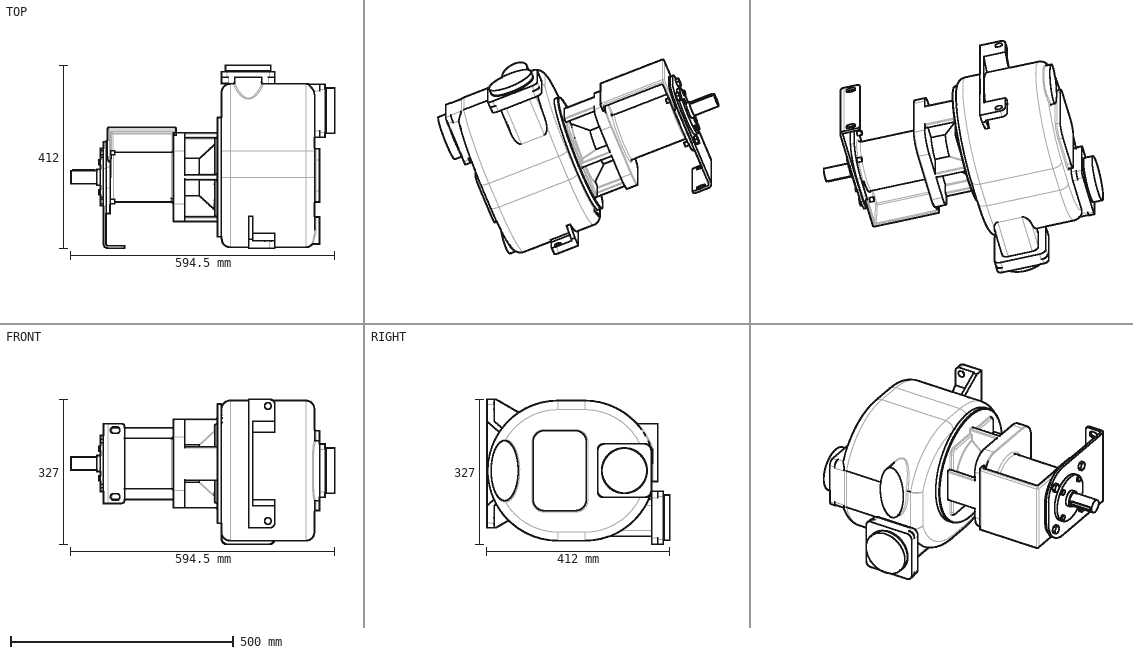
import math

import cadquery as cq


SHAFT_END = 58.5
COLLAR_END = 66.5
FOOT_PLATE_X = 73.5
FOOT_THICKNESS = 6.0
BEARING_FLANGE_X = FOOT_PLATE_X + FOOT_THICKNESS
BEARING_FLANGE_END = 88.5
SQUARE_FLANGE_X = 230.5
SQUARE_FLANGE_END = 256.5
LANTERN_CONE_X = 289.5
PAD_X = 323.5
DISC_X = 329.0
CASING_X = 339.0
CASING_END = 548.5
PORT_RISE = 11.5
OVERALL_LENGTH = 594.5

SHAFT_DIAMETER = 30.0
COLLAR_DIAMETER = 36.5
KEY_START = 4.0
KEY_END = 54.0
KEY_WIDTH = 8.0
KEY_TOP = 16.5

CAP_DIAMETER = 110.0
CAP_SCREW_OFFSET = 33.5
CAP_SCREW_DIAMETER = 11.5
CAP_SCREW_HEAD = 4.0
FOOT_SCREW_OFFSET = 55.0
FOOT_SCREW_HEAD_WIDTH = 19.5
HEXAGON = 6
FOOT_SCREW_DIAMETER = 10.0
FOOT_SCREW_TIP = 99.0

BASE_Y = -160.0
FOOT_TOP_Y = 80.0
FOOT_WIDTH = 180.0
FOOT_ROUND = 60.0
FOOT_LEG_END = 121.0
FOOT_BEND = 10.0
FOOT_LEG_CORNER = 7.0
FOOT_SLOT_X = 100.0
FOOT_SLOT_Z = 75.0
FOOT_SLOT_LENGTH = 20.5
FOOT_SLOT_WIDTH = 14.5

BEARING_FLANGE_SIZE = 164.0
BEARING_FLANGE_ROUND = 58.0
BARREL_DIAMETER = 113.0
BARREL_FRONT_FILLET = 7.0
BARREL_FILLET = 5.0

FRAME_X = 82.5
FRAME_END = 237.0
FRAME_Y = 112.5
FRAME_HALF_HEIGHT = 81.0
FRAME_END_WALL = 6.5
FRAME_BACK_WALL = 9.5
FRAME_OUTER_ROUND = 3.5
FRAME_RIM_ROUND = 2.0
FRAME_INNER_FILLET = 3.0
FRAME_DRAFT = 2.0
WEB_THICKNESS = 12.0

SQUARE_FLANGE_SIZE = 200.0
SQUARE_FLANGE_CORNER = 40.0
SQUARE_FLANGE_EDGE = 2.0
LANTERN_TUBE_DIAMETER = 85.0
LANTERN_CONE_DIAMETER = 147.0
RIB_THICKNESS = 12.0
SIDE_PLATE_THICKNESS = 11.0
SIDE_PLATE_WIDTH = 76.0
PAD_SIZE = 176.0
PAD_CORNER = 12.0
PAD_EDGE = 3.0
CONE_FOOT_FILLET = 3.0
RIB_FILLET = 2.0
TUBE_JOINT_FILLET = 1.5
DISC_DIAMETER = 269.0
DISC_EDGE = 1.5

CASING_RADIUS = 158.0
CASING_Z = -16.0
CASING_CENTRE_SHIFT = 60.0
CASING_BACK_Y = 210.5
CASING_FILLET = 20.0

PIPE_FLANGE_SIZE = 120.0
INNER_PLATE_CORNER = 15.0
OUTER_PLATE_CORNER = 12.0
PIPE_DIAMETER = 102.5
PIPE_GROOVE_WIDTH = 2.0
PIPE_GROOVE_DEPTH = 1.0
DISCHARGE_X = 399.0
DISCHARGE_Z = -122.0
DISCHARGE_JOINT_Y = 225.0
DISCHARGE_FACE_Y = 237.5
DISCHARGE_END_Y = 252.0
DISCHARGE_NECK_SIZE = 84.0
DISCHARGE_NECK_CORNER = 14.0
INLET_Y = 149.5
INLET_PLATE_THICKNESS = 12.5

SEAT_WIDTH = 61.0
SEAT_HEIGHT = 131.0
END_SEAT_HEIGHT = 135.0
BACK_SEAT_Z = 24.5
END_SEAT_Y = -120.0
COVER_Y = 4.0
COVER_WIDTH = 120.0
COVER_HEIGHT = 180.0
COVER_CORNER = 25.0
SEAT_FILLET = 3.0

BRACKET_X = 400.0
BRACKET_THICKNESS = 9.0
BRACKET_HALF_HEIGHT = 145.0
BRACKET_CREST = 20.0
BRACKET_SLOPE = 30.0
CASING_FOOT_END = 459.0
CASING_FOOT_HEIGHT = 50.0
CASING_FOOT_THICKNESS = 16.5
CASING_FOOT_CORNER = 12.0
CASING_FOOT_HOLE_X = 443.5
CASING_FOOT_HOLE_Z = 129.5
CASING_FOOT_HOLE = 15.0
STRUT_SLOPE = 41.0

OVERLAP = 10.0
END_CLEARANCE = 0.2
SELECTION_MARGIN = 0.1


def at_x(x, y=0.0, z=0.0):
    """Sketch plane across the shaft: sketch axes are Y and Z, extrudes toward +X."""
    return cq.Workplane("YZ", origin=(x, y, z))


def at_y(y, x=0.0, z=0.0):
    """Sketch plane across Y: sketch axes are X and Z, extrudes toward -Y."""
    return cq.Workplane("XZ", origin=(x, y, z))


def between(low, high):
    """Selector for edges whose centre lies between two corner points, with a small margin."""
    return cq.selectors.BoxSelector(
        tuple(value - SELECTION_MARGIN for value in low),
        tuple(value + SELECTION_MARGIN for value in high),
    )


def cylinder_x(x0, x1, diameter, y=0.0, z=0.0):
    return at_x(x0, y, z).circle(diameter / 2).extrude(x1 - x0)


def block(x0, x1, y0, y1, z0, z1):
    return cq.Workplane("XY").box(x1 - x0, y1 - y0, z1 - z0, centered=False).translate((x0, y0, z0))


def rounded_block(sketch, width, height, thickness, corner):
    """Rectangular plate on a sketch plane, rounded at the four corners of its outline."""
    body = sketch.rect(width, height).extrude(thickness)
    along_normal = cq.selectors.ParallelDirSelector(sketch.plane.zDir)
    return body.edges(along_normal).fillet(corner)


def shaft():
    body = cylinder_x(0, SHAFT_END, SHAFT_DIAMETER)
    body = body.union(cylinder_x(SHAFT_END, COLLAR_END, COLLAR_DIAMETER))
    body = body.union(block(KEY_START, KEY_END, 0, KEY_TOP, -KEY_WIDTH / 2, KEY_WIDTH / 2))
    return body


def square_pattern(offset):
    """Four Y, Z places around the shaft axis."""
    return [(sy * offset, sz * offset) for sy in (-1, 1) for sz in (-1, 1)]


def bearing_cap():
    body = cylinder_x(COLLAR_END, FOOT_PLATE_X, CAP_DIAMETER)
    for y, z in square_pattern(CAP_SCREW_OFFSET):
        body = body.union(cylinder_x(COLLAR_END - CAP_SCREW_HEAD, FOOT_PLATE_X, CAP_SCREW_DIAMETER, y, z))
    for y, z in square_pattern(FOOT_SCREW_OFFSET):
        head = at_x(COLLAR_END, y, z).polygon(HEXAGON, FOOT_SCREW_HEAD_WIDTH).extrude(FOOT_PLATE_X - COLLAR_END)
        body = body.union(head)
        body = body.union(cylinder_x(FOOT_PLATE_X, FOOT_SCREW_TIP, FOOT_SCREW_DIAMETER, y, z))
    return body


def angle_foot():
    half = FOOT_WIDTH / 2
    outer = block(FOOT_PLATE_X, FOOT_LEG_END, BASE_Y, FOOT_TOP_Y, -half, half)
    outer = outer.edges("|Z and <X and <Y").fillet(FOOT_BEND)
    outer = outer.edges("|X and >Y").fillet(FOOT_ROUND)
    outer = outer.edges("|Y and >X").fillet(FOOT_LEG_CORNER)
    inside = block(
        BEARING_FLANGE_X, FOOT_LEG_END, BASE_Y + FOOT_THICKNESS, FOOT_TOP_Y, -half, half
    )
    inside = inside.edges("|Z and <X and <Y").fillet(FOOT_BEND - FOOT_THICKNESS)
    slots = (
        at_y(BASE_Y + FOOT_THICKNESS)
        .pushPoints([(FOOT_SLOT_X, -FOOT_SLOT_Z), (FOOT_SLOT_X, FOOT_SLOT_Z)])
        .slot2D(FOOT_SLOT_LENGTH, FOOT_SLOT_WIDTH)
        .extrude(FOOT_THICKNESS)
    )
    return outer.cut(inside).cut(slots)


def bearing_housing():
    flange = rounded_block(
        at_x(BEARING_FLANGE_X),
        BEARING_FLANGE_SIZE,
        BEARING_FLANGE_SIZE,
        BEARING_FLANGE_END - BEARING_FLANGE_X,
        BEARING_FLANGE_ROUND,
    )
    radius = BARREL_DIAMETER / 2
    barrel = (
        cq.Workplane("XY")
        .moveTo(BEARING_FLANGE_END, 0)
        .lineTo(BEARING_FLANGE_END, radius + BARREL_FRONT_FILLET)
        .radiusArc((BEARING_FLANGE_END + BARREL_FRONT_FILLET, radius), -BARREL_FRONT_FILLET)
        .lineTo(SQUARE_FLANGE_X - BARREL_FILLET, radius)
        .radiusArc((SQUARE_FLANGE_X, radius + BARREL_FILLET), -BARREL_FILLET)
        .lineTo(SQUARE_FLANGE_X, 0)
        .close()
        .revolve(360, (0, 0, 0), (1, 0, 0))
    )
    return flange.union(barrel)


def side_frame():
    half = FRAME_HALF_HEIGHT
    inner_x = FRAME_X + FRAME_END_WALL
    inner_y = FRAME_Y - FRAME_BACK_WALL
    depth = half - WEB_THICKNESS / 2
    draft_run = depth * math.tan(math.radians(FRAME_DRAFT))
    body = block(FRAME_X, FRAME_END, 0, FRAME_Y, -half, half)
    body = body.edges(">Y or (<X and |Y)").fillet(FRAME_OUTER_ROUND)
    cavity = (
        cq.Workplane("XY", origin=(inner_x, inner_y, half))
        .rect(SQUARE_FLANGE_X + draft_run - inner_x, -2 * inner_y, centered=False)
        .extrude(-depth, taper=FRAME_DRAFT)
    )
    cavity = cavity.edges("not #Z").fillet(FRAME_INNER_FILLET)
    cavity = cavity.faces("<Z").edges().fillet(FRAME_INNER_FILLET)
    body = body.cut(cavity).cut(cavity.mirror("XY"))
    inner_rim = between((inner_x, END_CLEARANCE, -half), (SQUARE_FLANGE_X, inner_y, half))
    return body.faces(">Z or <Z").edges(inner_rim).fillet(FRAME_RIM_ROUND)


def lantern_ribs():
    """Cross of ribs with a wide plate along each of the two side ribs."""
    half = SQUARE_FLANGE_SIZE / 2
    start = SQUARE_FLANGE_END - OVERLAP
    rib = RIB_THICKNESS / 2
    plate = SIDE_PLATE_WIDTH / 2
    body = block(start, DISC_X, -rib, rib, -half, half)
    body = body.union(block(start, DISC_X, -half, half, -rib, rib))
    for y in (-half, half - SIDE_PLATE_THICKNESS):
        body = body.union(block(start, DISC_X, y, y + SIDE_PLATE_THICKNESS, -plate, plate))
    return body.edges("|X").fillet(RIB_FILLET)


def lantern():
    flange = rounded_block(
        at_x(SQUARE_FLANGE_X),
        SQUARE_FLANGE_SIZE,
        SQUARE_FLANGE_SIZE,
        SQUARE_FLANGE_END - SQUARE_FLANGE_X,
        SQUARE_FLANGE_CORNER,
    )
    start = SQUARE_FLANGE_END - OVERLAP
    tube_radius = LANTERN_TUBE_DIAMETER / 2
    cone_radius = LANTERN_CONE_DIAMETER / 2
    tube_profile = [
        (start, 0),
        (start, tube_radius + OVERLAP),
        (SQUARE_FLANGE_END, tube_radius + OVERLAP),
        (SQUARE_FLANGE_END, tube_radius),
        (LANTERN_CONE_X, tube_radius),
        (PAD_X, cone_radius),
        (PAD_X, cone_radius + OVERLAP),
        (DISC_X, cone_radius + OVERLAP),
        (DISC_X, 0),
    ]
    tube = cq.Workplane("XY").polyline(tube_profile).close().revolve(360, (0, 0, 0), (1, 0, 0))
    cone_foot = cq.selectors.RadiusNthSelector(2)
    tube = tube.edges(cone_foot).fillet(CONE_FOOT_FILLET)
    pad = rounded_block(at_x(PAD_X), PAD_SIZE, PAD_SIZE, DISC_X - PAD_X, PAD_CORNER)
    pad = pad.faces("<X").edges().fillet(PAD_EDGE)
    disc = cylinder_x(DISC_X, CASING_X, DISC_DIAMETER).faces("<X").edges().chamfer(DISC_EDGE)
    body = flange.union(tube).union(pad).union(disc).union(lantern_ribs())
    half = SQUARE_FLANGE_SIZE / 2
    rib = RIB_THICKNESS / 2
    for low, high in ((-half, -tube_radius), (tube_radius, half)):
        tube_joint = between(
            (SQUARE_FLANGE_END + END_CLEARANCE, -rib, max(low, -cone_radius)),
            (PAD_X - END_CLEARANCE, rib, min(high, cone_radius)),
        )
        body = body.edges(tube_joint).fillet(TUBE_JOINT_FILLET)
        foot = between((DISC_X, -rib, low), (DISC_X, rib, high))
        body = body.edges(foot).fillet(RIB_FILLET)
    return body.faces("<X").edges().fillet(SQUARE_FLANGE_EDGE)


def casing():
    length = CASING_END - CASING_X
    body = (
        at_x(CASING_X, CASING_CENTRE_SHIFT / 2, CASING_Z)
        .slot2D(CASING_CENTRE_SHIFT + 2 * CASING_RADIUS, 2 * CASING_RADIUS)
        .extrude(length)
    )
    trim = block(
        CASING_X, CASING_END, -2 * CASING_RADIUS, CASING_BACK_Y, -2 * CASING_RADIUS, 2 * CASING_RADIUS
    )
    return body.intersect(trim).faces("<X or >X").edges().fillet(CASING_FILLET)


def pipe_flange(plane_at, direction, stations):
    """Two square plates and a pipe end.

    `plane_at` maps an axial station to a sketch plane. The stations are the root of
    the inner plate, the joint between the plates, the outer face and the pipe end.
    """
    root, joint, face, end = stations
    inner = rounded_block(
        plane_at(root), PIPE_FLANGE_SIZE, PIPE_FLANGE_SIZE, direction * (joint - root), INNER_PLATE_CORNER
    )
    outer = rounded_block(
        plane_at(joint), PIPE_FLANGE_SIZE, PIPE_FLANGE_SIZE, direction * (face - joint), OUTER_PLATE_CORNER
    )
    radius = PIPE_DIAMETER / 2
    pipe_start = face + PIPE_GROOVE_WIDTH
    neck = plane_at(face).circle(radius - PIPE_GROOVE_DEPTH).extrude(direction * PIPE_GROOVE_WIDTH)
    pipe = plane_at(pipe_start).circle(radius).extrude(direction * (end - pipe_start))
    return inner.union(outer).union(neck).union(pipe)


def inlet():
    def plane_at(x):
        return at_x(x, INLET_Y, CASING_Z)

    root = CASING_END - CASING_FILLET
    joint = CASING_END + PORT_RISE
    face = joint + INLET_PLATE_THICKNESS
    return pipe_flange(plane_at, 1, (root, joint, face, OVERALL_LENGTH))


def discharge():
    def plane_at(y):
        return at_y(y, DISCHARGE_X, DISCHARGE_Z)

    stations = (CASING_BACK_Y, DISCHARGE_JOINT_Y, DISCHARGE_FACE_Y, DISCHARGE_END_Y)
    body = pipe_flange(plane_at, -1, stations)
    neck = rounded_block(
        plane_at(DISCHARGE_JOINT_Y),
        DISCHARGE_NECK_SIZE,
        DISCHARGE_NECK_SIZE,
        DISCHARGE_JOINT_Y - CASING_CENTRE_SHIFT,
        DISCHARGE_NECK_CORNER,
    )
    return body.union(neck)


def casing_with_seats():
    back = (
        at_y(DISCHARGE_JOINT_Y, DISCHARGE_X, BACK_SEAT_Z)
        .ellipse(SEAT_WIDTH / 2, SEAT_HEIGHT / 2)
        .extrude(DISCHARGE_JOINT_Y - CASING_CENTRE_SHIFT)
    )
    root_x = CASING_END - 2 * CASING_FILLET
    end_seat = (
        at_x(root_x, END_SEAT_Y, CASING_Z)
        .ellipse(SEAT_WIDTH / 2, END_SEAT_HEIGHT / 2)
        .extrude(CASING_END + PORT_RISE - root_x)
    )
    cover = rounded_block(
        at_x(CASING_END - OVERLAP, COVER_Y, CASING_Z),
        COVER_WIDTH,
        COVER_HEIGHT,
        OVERLAP + PORT_RISE,
        COVER_CORNER,
    )
    body = casing().union(back).union(end_seat).union(cover)
    half_width = SEAT_WIDTH / 2
    back_joint = between(
        (DISCHARGE_X - half_width, CASING_CENTRE_SHIFT, BACK_SEAT_Z - SEAT_HEIGHT / 2),
        (DISCHARGE_X + half_width, CASING_BACK_Y, BACK_SEAT_Z + SEAT_HEIGHT / 2),
    )
    end_joint = between(
        (CASING_END - CASING_FILLET / 2, END_SEAT_Y - half_width, CASING_Z - END_SEAT_HEIGHT / 2),
        (CASING_END, END_SEAT_Y + half_width, CASING_Z + END_SEAT_HEIGHT / 2),
    )
    cover_joint = between(
        (CASING_END, COVER_Y - COVER_WIDTH / 2, CASING_Z - COVER_HEIGHT / 2),
        (CASING_END, COVER_Y + COVER_WIDTH / 2, CASING_Z + COVER_HEIGHT / 2),
    )
    for joint in (back_joint, end_joint, cover_joint):
        body = body.edges(joint).fillet(SEAT_FILLET)
    return body


def casing_feet():
    """Cross plate with an upper and a lower foot, built for +Z and mirrored."""
    slope = math.tan(math.radians(BRACKET_SLOPE))
    crest_y = BASE_Y + BRACKET_CREST
    half = BRACKET_HALF_HEIGHT
    plate = (
        at_x(BRACKET_X)
        .moveTo(BASE_Y, 0)
        .lineTo(BASE_Y, half)
        .lineTo(crest_y, half)
        .lineTo(0, half + crest_y * slope)
        .lineTo(0, 0)
        .close()
        .extrude(BRACKET_THICKNESS)
    )
    foot_y = BASE_Y + CASING_FOOT_THICKNESS
    foot = block(BRACKET_X, CASING_FOOT_END, BASE_Y, foot_y, half - CASING_FOOT_HEIGHT, half)
    foot = foot.edges("|Y and >X and >Z").fillet(CASING_FOOT_CORNER)
    hole = (
        at_y(foot_y, CASING_FOOT_HOLE_X, CASING_FOOT_HOLE_Z)
        .circle(CASING_FOOT_HOLE / 2)
        .extrude(CASING_FOOT_THICKNESS)
    )
    foot = foot.cut(hole)
    root_z = half - CASING_FOOT_HEIGHT
    strut_slope = math.tan(math.radians(STRUT_SLOPE))
    strut_run = root_z / strut_slope
    strut = (
        at_x(BRACKET_X)
        .moveTo(BASE_Y, root_z)
        .lineTo(foot_y, root_z)
        .lineTo(foot_y + strut_run, 0)
        .lineTo(BASE_Y + strut_run, 0)
        .close()
        .extrude(CASING_FOOT_END - BRACKET_X)
    )
    upper = plate.union(foot).union(strut)
    return upper.union(upper.mirror("XY"))


result = casing_with_seats()
for feature in (
    casing_feet(),
    discharge(),
    inlet(),
    lantern(),
    side_frame(),
    bearing_housing(),
    angle_foot(),
    bearing_cap(),
    shaft(),
):
    result = result.union(feature)